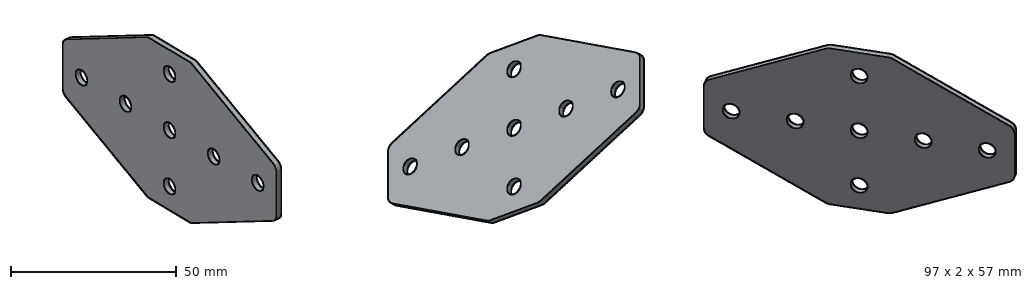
import cadquery as cq

length = 97.0
height = 57.0
thickness = 2.0
top_edge_length = 19.5
end_edge_length = 19.0
corner_radius = 3.0

hole_spacing = 20.0
hole_diameter = 5.2

half_length = length / 2
half_height = height / 2
half_top = top_edge_length / 2
half_end = end_edge_length / 2
outline = [
    (half_length, -half_end),
    (half_length, half_end),
    (half_top, half_height),
    (-half_top, half_height),
    (-half_length, half_end),
    (-half_length, -half_end),
    (-half_top, -half_height),
    (half_top, -half_height),
]
plate = (
    cq.Workplane("XZ")
    .polyline(outline)
    .close()
    .extrude(thickness / 2, both=True)
    .edges("|Y")
    .fillet(corner_radius)
)

hole_centres = [(step * hole_spacing, 0) for step in range(-2, 3)]
hole_centres += [(0, side * hole_spacing) for side in (-1, 1)]
holes = (
    cq.Workplane("XZ")
    .pushPoints(hole_centres)
    .circle(hole_diameter / 2)
    .extrude(thickness, both=True)
)

result = plate.cut(holes)